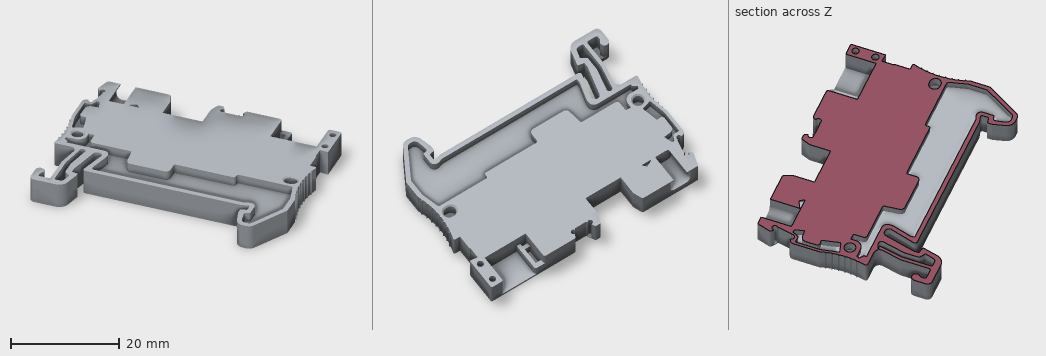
import cadquery as cq
import math


LENGTH = 48.5
HEIGHT = 35.2
THICKNESS = 5.0

POCKET_DEPTH = 1.9
POCKET_FLOOR = THICKNESS - POCKET_DEPTH
FOOT_WEB = 1.0
CHIP_WEB = 0.2
TRIANGLE_DEPTH = 1.0
PIN_HOLE_DEPTH = 2.0
BORE_DEPTH = 2.5
LEAD_IN = 0.3
LEAD_IN_ANGLE = 45

SHOULDER_Y = 29.15
WAIST_Y = 17.2
RAIL_Y = 6.1
ARM_Y = 12.6
RIM = 0.95
FOOT_X = 0.15
FOOT_TOP = 4.1
FOOT_CLEARANCE = 1.1
FOOT_FLOOR = 1.45
STEM_LEFT = 3.8
STEM_RIGHT = 4.6
BEAM_LEFT = 5.6
SPRING_SLOT_TOP = 12.65

LEFT_WAIST_X = 0.72
RIGHT_WAIST_X = 47.45
GRIP_RADIUS = 16.8
TOOTH_PITCH = 1.233
TOOTH_HEIGHT = 0.25
TOOTH_WIDTH = 0.4
TOOTH_ROOT = 0.1
LEFT_TEETH = (-2, 3)
RIGHT_TEETH = (-4, 3)
LEFT_GRIP_TOP = 22.1
LEFT_GRIP_BOTTOM = 13.1
RIGHT_GRIP_TOP = 22.35
RIGHT_GRIP_BOTTOM = 11.4

BRIDGE_LEFT, BRIDGE_RIGHT = 15.3, 23.2
CHAMFER_FOOT_Y = 33.25
MARKER_FLOOR = 33.4
LATCH_RADIUS = 0.5
LATCH_CENTRES = [(2.35, 31.85), (1.5, 28.15), (25.4, 33.9), (29.15, 33.9)]

KEYWAY_X = 6.08
KEYWAY_MOUTH = 3.0
KEYWAY_CORNER = 0.3
KEYWAY_CAVITY = 4.5
KEYWAY_LIP = 0.3
KEYWAY_FLOOR = 1.5
KEYWAY_ROUND = 1.1

RECESS_LEFT, RECESS_STEP, RECESS_RIGHT = 36.65, 38.65, 45.85
RECESS_FLOOR = 0.5
SHELF_Z = 2.5
MOUTH_BEVEL = 0.25
SLIT_WIDTH = 1.2
SLIT_SPANS = [(30.6, 34.2), (SHOULDER_Y, 29.8)]

PIN_X = 47.25
PIN_RADIUS = 0.65
PIN_YS = [29.8, 33.75]

LEFT_BORE_X = 3.1
RIGHT_BORE_X = 45.4
BORE_RADIUS = 1.05
RIGHT_BORE_STRETCH = 0.4


def grip_x(waist_x, side, y):
    """X of a concave grip curve at height y; side is -1 on the left, +1 on the right."""
    sag = GRIP_RADIUS - math.sqrt(GRIP_RADIUS**2 - (y - WAIST_Y) ** 2)
    return waist_x + side * sag


def rounded_outline(corners, z=0.0):
    """Closed wire through (x, y) or (x, y, radius) corners, each radius as a tangent arc."""
    legs = []
    for i, corner in enumerate(corners):
        here = cq.Vector(corner[0], corner[1])
        before = cq.Vector(*corners[i - 1][:2])
        after = cq.Vector(*corners[(i + 1) % len(corners)][:2])
        if len(corner) == 2:
            legs.append((here,))
            continue
        to_before = (before - here).normalized()
        to_after = (after - here).normalized()
        half = to_before.getAngle(to_after) / 2
        reach = corner[2] / math.tan(half)
        bisector = (to_before + to_after).normalized()
        middle = here + bisector * (corner[2] / math.sin(half) - corner[2])
        legs.append((here + to_before * reach, middle, here + to_after * reach))

    wire = cq.Workplane("XY", origin=(0, 0, z)).moveTo(*legs[0][-1].toTuple()[:2])
    for leg in legs[1:] + legs[:1]:
        wire = wire.lineTo(*leg[0].toTuple()[:2])
        if len(leg) == 3:
            wire = wire.threePointArc(leg[1].toTuple()[:2], leg[2].toTuple()[:2])
    return wire.close()


def prism(corners, bottom, top):
    return rounded_outline(corners, bottom).extrude(top - bottom)


def box(x0, x1, y0, y1, z0, z1):
    return cq.Workplane("XY").box(x1 - x0, y1 - y0, z1 - z0, centered=False).translate((x0, y0, z0))


def body():
    """Full-thickness silhouette, counterclockwise from the top left corner."""
    left_end = [
        (2.05, HEIGHT, 0.3),
        (1.15, 32.2, 0.45),
        (2.65, 31.2),
        (2.1, 28.5),
        (1.05, 28.2),
        (0, 28.2, 0.95),
        (0, LEFT_GRIP_TOP),
        (grip_x(LEFT_WAIST_X, -1, LEFT_GRIP_BOTTOM), LEFT_GRIP_BOTTOM),
        (0.12, ARM_Y, 0.4),
    ]
    spring_foot = [
        (4.9, ARM_Y, 1.05),
        (STEM_LEFT, 7.35),
        (STEM_LEFT, FOOT_TOP, 0.9),
        (FOOT_X, FOOT_TOP, 0.9),
        (FOOT_X, 0, 1.0),
        (6.95, 0, 1.95),
        (8.1, 4.7, 0.2),
        (6.75, 4.95),
        (6.75, 6.0),
        (8.4, SPRING_SLOT_TOP, 0.8),
        (10.2, SPRING_SLOT_TOP, 0.8),
        (8.3, RAIL_Y, 0.5),
    ]
    fixed_foot = [
        (39.95, RAIL_Y),
        (41.5, 6.5, 0.3),
        (41.5, 5.0, 0.15),
        (40.25, 4.75, 0.15),
        (40.25, 3.7),
        (41.25, 0, 1.8),
        (44.1, 0, 1.35),
        (LENGTH, 7.5, 0.5),
    ]
    right_end = [
        (LENGTH, RIGHT_GRIP_BOTTOM),
        (48.3, RIGHT_GRIP_TOP),
        (48.4, 22.8, 0.3),
        (47.0, 22.8),
        (47.0, 26.0),
        (46.85, 26.0),
        (46.85, 28.3),
        (LENGTH, 28.15),
        (LENGTH, HEIGHT, 0.25),
    ]
    top_edge = [
        (29.65, HEIGHT, 0.2),
        (28.55, MARKER_FLOOR),
        (26.0, MARKER_FLOOR),
        (25.1, HEIGHT, 0.35),
        (23.95, HEIGHT, 0.35),
        (BRIDGE_RIGHT, CHAMFER_FOOT_Y),
        (BRIDGE_RIGHT, SHOULDER_Y),
        (BRIDGE_LEFT, SHOULDER_Y),
        (BRIDGE_LEFT, CHAMFER_FOOT_Y),
        (14.55, HEIGHT, 0.4),
    ]
    return prism(left_end + spring_foot + fixed_foot + right_end + top_edge, 0, THICKNESS)


def grip_hollow(waist_x, side, bottom, top):
    """Material outside a concave grip curve."""
    outside = LENGTH / 2 + side * LENGTH
    return (
        cq.Workplane("XY")
        .moveTo(grip_x(waist_x, side, bottom), bottom)
        .threePointArc((waist_x, WAIST_Y), (grip_x(waist_x, side, top), top))
        .lineTo(outside, top)
        .lineTo(outside, bottom)
        .close()
        .extrude(THICKNESS)
    )


def grip_teeth(waist_x, side, first, last):
    """Ridges standing on a grip curve, numbered upward from the waist."""
    teeth = cq.Workplane("XY")
    for number in range(first, last + 1):
        y = WAIST_Y + number * TOOTH_PITCH
        x = grip_x(waist_x, side, y)
        root_x = x - side * TOOTH_ROOT
        corners = [
            (root_x, y - TOOTH_WIDTH / 2),
            (x + side * TOOTH_HEIGHT, y),
            (root_x, y + TOOTH_WIDTH / 2),
        ]
        teeth = teeth.add(prism(corners, 0, THICKNESS))
    return teeth.combine()


def spring_slot():
    """Closed slot between the stem and the flexing beam of the spring foot."""
    corners = [
        (STEM_RIGHT, 7.4),
        (5.6, SPRING_SLOT_TOP, 0.5),
        (6.75, SPRING_SLOT_TOP, 0.5),
        (BEAM_LEFT, 7.4),
        (BEAM_LEFT, 4.4, 0.4),
        (6.8, 3.65, 0.2),
        (6.2, FOOT_FLOOR, 0.7),
        (STEM_RIGHT, FOOT_FLOOR, 0.3),
    ]
    return prism(corners, 0, THICKNESS)


def foot_pocket():
    """Space behind the hook of the spring foot, above a thin web."""
    above = FOOT_TOP + FOOT_CLEARANCE
    corners = [
        (STEM_LEFT, above),
        (STEM_LEFT, FOOT_FLOOR, 0.3),
        (1.45, FOOT_FLOOR, 0.3),
        (1.45, 2.4),
        (1.95, 3.15, 0.15),
        (1.7, 3.9, 0.2),
        (1.2, FOOT_TOP),
        (1.2, above),
    ]
    return prism(corners, FOOT_WEB, THICKNESS)


def lower_pocket():
    """Long pocket along the rail side, from the left arm into the fixed foot."""
    left_end = [
        (1.45, 14.7),
        (1.65, 15.2),
        (5.1, 15.2, 1.65),
        (5.1, 17.75),
        (6.25, 17.75),
        (6.25, 15.2, 0.65),
    ]
    upper_edge = [
        (14.6, 15.2, 0.3),
        (15.05, 11.3, 0.9),
        (23.5, 11.3, 0.9),
        (23.5, 14.1, 0.3),
        (35.55, 14.1, 0.4),
        (35.55, 15.2, 0.3),
        (46.55, 15.2, 0.5),
    ]
    fixed_foot = [
        (LENGTH - RIM, RIGHT_GRIP_BOTTOM),
        (LENGTH - RIM, 7.7),
        (43.65, RIM, 0.8),
        (41.9, RIM, 1.0),
        (41.4, 3.4),
        (41.4, 3.95),
        (42.4, 4.2, 0.3),
        (42.4, 7.5, 1.0),
        (41.0, 7.35, 0.5),
        (40.2, RAIL_Y + RIM),
    ]
    lower_edge = [
        (9.85, RAIL_Y + RIM, 0.3),
        (9.85, 7.9),
        (10.95, 11.8, 0.3),
        (10.95, 13.6, 1.2),
        (2.3, 13.6),
        (2.3, 14.1),
    ]
    return prism(left_end + upper_edge + fixed_foot + lower_edge, POCKET_FLOOR, THICKNESS)


def side_pocket():
    """Narrow pocket behind the left end wall."""
    corners = [
        (0.65, 27.0),
        (2.05, 27.0, 0.3),
        (2.65, 28.3, 0.2),
        (3.15, 28.3, 0.2),
        (3.7, 26.5),
        (1.35, 26.3, 1.1),
        (1.3, 22.6, 0.6),
        (2.7, 22.7),
        (3.5, 19.2, 0.3),
        (1.4, 18.6, 0.2),
        (0.65, 22.2),
    ]
    return prism(corners, POCKET_FLOOR, THICKNESS)


def latch_notch(centre):
    return (
        cq.Workplane("XY", origin=(0, 0, CHIP_WEB))
        .center(*centre)
        .circle(LATCH_RADIUS)
        .extrude(THICKNESS - CHIP_WEB)
    )


def keyway():
    """Undercut keyway entering from the top edge: a thin lip over a wider cavity."""
    lip_z = THICKNESS - KEYWAY_LIP
    half_mouth = KEYWAY_MOUTH / 2
    half_cavity = KEYWAY_CAVITY / 2
    mouth_corners = [
        (KEYWAY_X - half_mouth, HEIGHT),
        (KEYWAY_X + half_mouth, HEIGHT),
        (KEYWAY_X + half_mouth, SHOULDER_Y, KEYWAY_CORNER),
        (KEYWAY_X - half_mouth, SHOULDER_Y, KEYWAY_CORNER),
    ]
    cavity = box(
        KEYWAY_X - half_cavity, KEYWAY_X + half_cavity, SHOULDER_Y, HEIGHT, KEYWAY_FLOOR, lip_z
    )
    cavity = cavity.edges("|Y and <Z").fillet(KEYWAY_ROUND)
    return cavity.union(prism(mouth_corners, lip_z, THICKNESS))


def flared_recess(left, right, floor, right_flare):
    """Opening down from the top edge whose mouth is bevelled on the left, and right if asked."""
    corners = [
        (left - MOUTH_BEVEL, HEIGHT),
        (right + right_flare, HEIGHT),
        (right, HEIGHT - MOUTH_BEVEL),
        (right, SHOULDER_Y),
        (left, SHOULDER_Y),
        (left, HEIGHT - MOUTH_BEVEL),
    ]
    return prism(corners, floor, THICKNESS)


def stepped_recess():
    """Wide recess beside the pin block, with a slitted shelf on its left side."""
    recess = flared_recess(RECESS_STEP, RECESS_RIGHT, RECESS_FLOOR, MOUTH_BEVEL)
    recess = recess.union(flared_recess(RECESS_LEFT, RECESS_STEP, SHELF_Z, 0))
    for y0, y1 in SLIT_SPANS:
        slit = box(RECESS_LEFT, RECESS_LEFT + SLIT_WIDTH, y0, y1, RECESS_FLOOR, THICKNESS)
        recess = recess.union(slit)
    return recess


def triangle_mark():
    corners = [(8.6, SHOULDER_Y), (8.6, 29.35), (9.95, 30.05), (10.6, SHOULDER_Y)]
    return prism(corners, THICKNESS - TRIANGLE_DEPTH, THICKNESS)


def pin_holes():
    return (
        cq.Workplane("XY", origin=(0, 0, THICKNESS - PIN_HOLE_DEPTH))
        .pushPoints([(PIN_X, y) for y in PIN_YS])
        .circle(PIN_RADIUS)
        .extrude(PIN_HOLE_DEPTH)
    )


def coding_bore(x, stretch):
    """Blind bore with a tapered lead-in, lengthened along X by stretch."""
    bore = cq.Workplane("XY")
    bottom = THICKNESS - BORE_DEPTH
    for offset in sorted({-stretch / 2, stretch / 2}):
        round_bore = (
            cq.Workplane("XY", origin=(x + offset, WAIST_Y, bottom))
            .circle(BORE_RADIUS)
            .extrude(BORE_DEPTH)
            .union(
                cq.Workplane("XY", origin=(x + offset, WAIST_Y, THICKNESS))
                .circle(BORE_RADIUS + LEAD_IN)
                .extrude(-LEAD_IN, taper=LEAD_IN_ANGLE)
            )
        )
        bore = bore.add(round_bore)
    return bore.combine()


result = body()
result = result.cut(grip_hollow(LEFT_WAIST_X, -1, LEFT_GRIP_BOTTOM, LEFT_GRIP_TOP))
result = result.cut(grip_hollow(RIGHT_WAIST_X, 1, RIGHT_GRIP_BOTTOM, RIGHT_GRIP_TOP))
result = result.union(grip_teeth(LEFT_WAIST_X, -1, *LEFT_TEETH))
result = result.union(grip_teeth(RIGHT_WAIST_X, 1, *RIGHT_TEETH))

cutters = [
    spring_slot(),
    foot_pocket(),
    lower_pocket(),
    side_pocket(),
    keyway(),
    stepped_recess(),
    triangle_mark(),
    pin_holes(),
    coding_bore(LEFT_BORE_X, 0),
    coding_bore(RIGHT_BORE_X, RIGHT_BORE_STRETCH),
]
cutters += [latch_notch(centre) for centre in LATCH_CENTRES]
for cutter in cutters:
    result = result.cut(cutter)